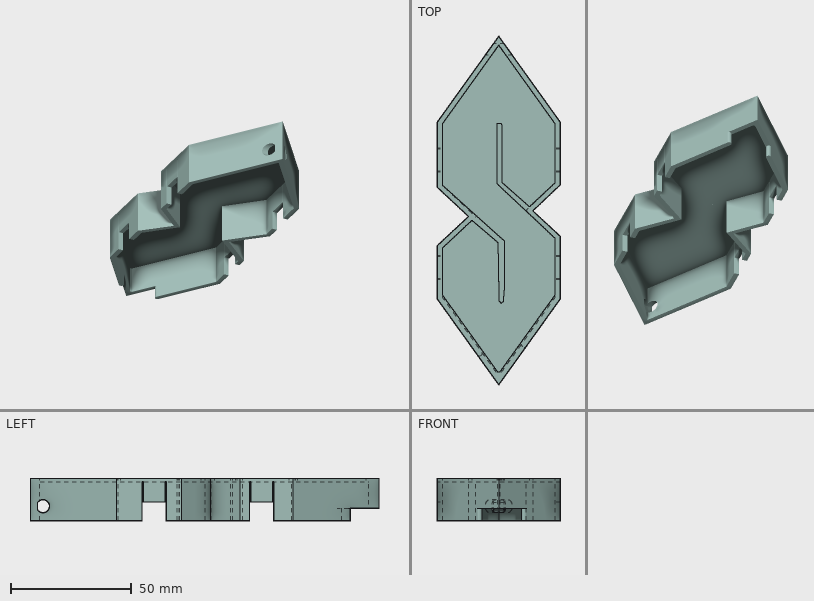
import cadquery as cq
import math

LENGTH = 144.5
WIDTH = 51.2
HEIGHT = 17.6
TIP_Y = LENGTH / 2
SIDE_X = WIDTH / 2

SHOULDER_Y = 36.5
WAIST_RIGHT_Y = 10.7
WAIST_LEFT_TOP_Y = 9.7
WAIST_LEFT_BOTTOM_Y = -14.6
RIGHT_NOTCH = (14.2, -0.1)
LEFT_NOTCH = (-12.6, -2.5)

WALL = 2.2
BOTTOM_TIP_RIM = 2.7
INNER_X = SIDE_X - WALL
TIP_SLOPE = (TIP_Y - SHOULDER_Y) / SIDE_X
TIP_STRETCH = math.hypot(1, TIP_SLOPE)
INNER_TOP_TIP_Y = TIP_Y - WALL * TIP_STRETCH
INNER_TOP_SHOULDER_Y = INNER_TOP_TIP_Y - TIP_SLOPE * INNER_X
INNER_TIP_HALF_FLAT = 0.5

INNER_RIGHT_TOP = (INNER_X, 11.5)
INNER_RIGHT_BOTTOM = (INNER_X, -11.5)
INNER_LEFT_TOP = (-INNER_X, 10.5)
INNER_LEFT_BOTTOM = (-INNER_X, -15.6)
CAVITY_RIGHT_NOTCH = (11.3, 0.0)
CAVITY_LEFT_NOTCH = (-9.5, -2.6)

UPPER_DIVIDER = [(12.7, 1.6), (1.5, 11.5), (1.5, 35.0), (1.0, 36.1), (-0.7, 36.1), (-0.7, 11.1)]
LOWER_DIVIDER = [
    (-11.1, -4.0), (-0.3, -13.3), (0.1, -37.5), (1.0, -38.5), (1.9, -37.7), (2.3, -32.7), (2.5, -12.7),
]

PANEL_THICKNESS = 1.5
PANEL_BOTTOM_Z = HEIGHT - PANEL_THICKNESS

OPENING_CENTERS_Y = (21.0, -23.5)
OPENING_LENGTH = 10.0
OPENING_HEIGHT = 7.8
SLIT_WIDTH = 0.5

HOLE_DIAMETER = 5.3
HOLE_Y = 67.0
HOLE_FLAT_Y = 69.2
HOLE_Z = 6.0

TIP_OPENING_HEIGHT = 5.2
LEFT_END_Y = -59.3
RIGHT_END_Y = -55.7


def outer_outline():
    return [
        (0, TIP_Y),
        (SIDE_X, SHOULDER_Y),
        (SIDE_X, WAIST_RIGHT_Y),
        RIGHT_NOTCH,
        (SIDE_X, -WAIST_RIGHT_Y),
        (SIDE_X, -SHOULDER_Y),
        (0, -TIP_Y),
        (-SIDE_X, -SHOULDER_Y),
        (-SIDE_X, WAIST_LEFT_BOTTOM_Y),
        LEFT_NOTCH,
        (-SIDE_X, WAIST_LEFT_TOP_Y),
        (-SIDE_X, SHOULDER_Y),
    ]


def inner_outline(bottom_tip_wall, right_waist, left_waist):
    """Inner edge of the frame, with the given points beside the two waist notches."""
    bottom_tip_y = -TIP_Y + bottom_tip_wall * TIP_STRETCH
    bottom_shoulder_y = bottom_tip_y + TIP_SLOPE * INNER_X
    tip_flat_y = bottom_tip_y + TIP_SLOPE * INNER_TIP_HALF_FLAT
    return [
        (0, INNER_TOP_TIP_Y),
        (INNER_X, INNER_TOP_SHOULDER_Y),
        INNER_RIGHT_TOP,
        *right_waist,
        INNER_RIGHT_BOTTOM,
        (INNER_X, bottom_shoulder_y),
        (INNER_TIP_HALF_FLAT, tip_flat_y),
        (-INNER_TIP_HALF_FLAT, tip_flat_y),
        (-INNER_X, bottom_shoulder_y),
        INNER_LEFT_BOTTOM,
        *left_waist,
        INNER_LEFT_TOP,
        (-INNER_X, INNER_TOP_SHOULDER_Y),
    ]


def prism(points, bottom, top):
    return cq.Workplane("XY").workplane(offset=bottom).polyline(points).close().extrude(top - bottom)


def cross_box(start_y, end_y, top):
    """Box from the underside up to a height, across the whole width."""
    return (
        cq.Workplane("XY")
        .box(2 * WIDTH, end_y - start_y, top, centered=(True, False, False))
        .translate((0, start_y, 0))
    )


def cut_side_openings(frame):
    for center_y in OPENING_CENTERS_Y:
        start_y = center_y - OPENING_LENGTH / 2
        end_y = center_y + OPENING_LENGTH / 2
        frame = frame.cut(cross_box(start_y, end_y, OPENING_HEIGHT))
        frame = frame.cut(cross_box(start_y, start_y + SLIT_WIDTH, PANEL_BOTTOM_Z))
        frame = frame.cut(cross_box(end_y - SLIT_WIDTH, end_y, PANEL_BOTTOM_Z))
    return frame


def cut_cross_hole(frame):
    hole = (
        cq.Workplane("YZ")
        .center(HOLE_Y, HOLE_Z)
        .circle(HOLE_DIAMETER / 2)
        .extrude(WIDTH, both=True)
    )
    round_side = cross_box(0, HOLE_FLAT_Y, HEIGHT)
    return frame.cut(hole.intersect(round_side))


def wall_end_center(end_y):
    """Distance from the centre plane, and Y, of the wall's middle line at a given Y."""
    middle_tip_y = -TIP_Y + WALL / 2 * TIP_STRETCH
    return ((end_y - middle_tip_y) / TIP_SLOPE, end_y)


def open_lower_tip(frame):
    """Remove the foot of the lower tip and round the two wall ends that remain."""
    for side, end_y in ((-1, LEFT_END_Y), (1, RIGHT_END_Y)):
        distance, center_y = wall_end_center(end_y)
        inner_point = (0, center_y + distance / TIP_SLOPE)
        outer_point = (side * SIDE_X, center_y - (SIDE_X - distance) / TIP_SLOPE)
        foot = [inner_point, outer_point, (side * SIDE_X, -LENGTH), (0, -LENGTH)]
        frame = frame.cut(prism(foot, 0, TIP_OPENING_HEIGHT))
        wall_end = (
            cq.Workplane("XY")
            .center(side * distance, center_y)
            .circle(WALL / 2)
            .extrude(TIP_OPENING_HEIGHT)
        )
        frame = frame.union(wall_end)
    return frame


def make_panel():
    return prism(inner_outline(BOTTOM_TIP_RIM, UPPER_DIVIDER, LOWER_DIVIDER), PANEL_BOTTOM_Z, HEIGHT)


def make_frame(panel):
    """Hollow S whose dividers fill the gaps of the panel."""
    frame = prism(outer_outline(), 0, HEIGHT)
    cavity_outline = inner_outline(WALL, [CAVITY_RIGHT_NOTCH], [CAVITY_LEFT_NOTCH])
    frame = frame.cut(prism(cavity_outline, 0, PANEL_BOTTOM_Z))
    frame = frame.cut(panel)
    frame = cut_side_openings(frame)
    frame = cut_cross_hole(frame)
    return open_lower_tip(frame)


panel = make_panel()
frame = make_frame(panel)

result = cq.Compound.makeCompound([frame.val(), panel.val()])